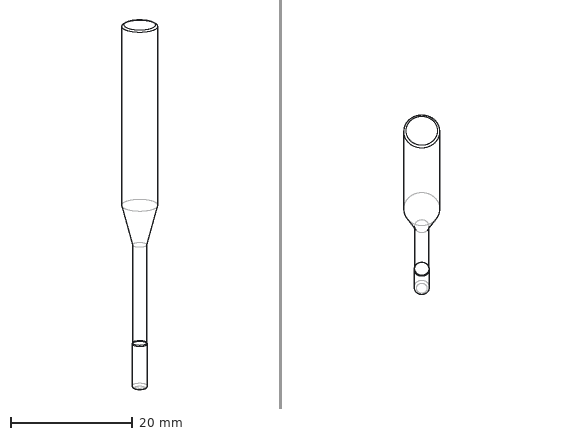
import cadquery as cq

total_length = 63.5
shank_radius = 6.0 / 2
tip_radius = 2.55 / 2
neck_radius = 2.35 / 2

tip_length = 7.7
flare_height = 0.2
taper_bottom = 25.0
taper_top = 31.95

tip_corner_radius = 0.4
shank_chamfer_height = 0.25
shank_chamfer_width = 0.4


def revolve_about_z(profile):
    """Turn a closed (radius, height) outline into a solid of revolution."""
    return cq.Workplane("XZ").polyline(profile).close().revolve(360, (0, 0), (0, 1))


def make_tip():
    """Cylindrical cutting tip with a rounded lower corner."""
    return (
        cq.Workplane("XY")
        .circle(tip_radius)
        .extrude(tip_length)
        .faces("<Z")
        .fillet(tip_corner_radius)
    )


def make_shank():
    """Chamfered shank that tapers to a slim neck, which flares to meet the tip."""
    profile = [
        (0, tip_length),
        (tip_radius, tip_length),
        (neck_radius, tip_length + flare_height),
        (neck_radius, taper_bottom),
        (shank_radius, taper_top),
        (shank_radius, total_length - shank_chamfer_height),
        (shank_radius - shank_chamfer_width, total_length),
        (0, total_length),
    ]
    return revolve_about_z(profile)


tip = make_tip()
shank = make_shank()

result = cq.Compound.makeCompound([tip.val(), shank.val()])